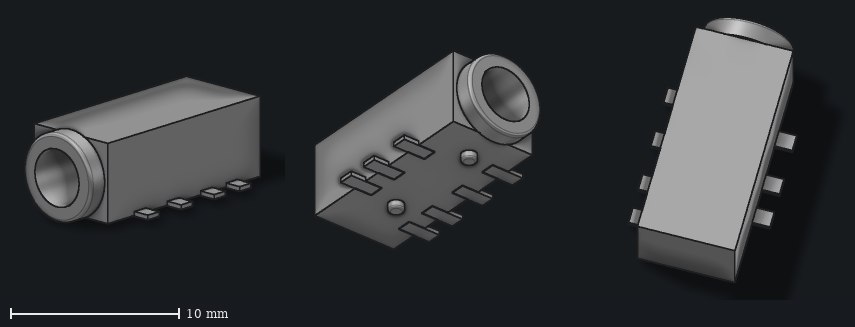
import cadquery as cq

total_length = 14.5
nose_length = 1.2
body_length = total_length - nose_length
body_width = 6.0
body_height = 5.0

nose_diameter = 5.5
nose_edge_radius = 0.2
bore_diameter = 3.58
bore_depth = 12.04
axis_height = body_height / 2

lead_span = 8.2
lead_gap = 3.6
lead_width = 1.0
lead_thickness = 0.3
lead_standoff = 0.05
left_lead_places = (3.8, 6.7, 8.89)
right_lead_places = (2.81, 5.7, 8.58, 10.8)

pin_diameter = 1.0
pin_edge_radius = 0.15
overall_height = 5.75
nose_rise = (nose_diameter - body_height) / 2
pin_length = overall_height - body_height - nose_rise
pin_places = (2.29, 9.28)


def make_body():
    return cq.Workplane("XY").box(body_width, body_length, body_height, centered=(True, False, False))


def front_cylinder(diameter, length):
    """Cylinder on the socket axis, running back from the tip of the nose."""
    return (
        cq.Workplane("XZ", origin=(0, -nose_length, axis_height))
        .circle(diameter / 2)
        .extrude(-length)
    )


def make_nose():
    return front_cylinder(nose_diameter, nose_length).faces("<Y").edges().fillet(nose_edge_radius)


def make_lead(side, place):
    """Flat solder lead; side is -1 for left and +1 for right."""
    lead_length = (lead_span - lead_gap) / 2
    center_x = side * (lead_span + lead_gap) / 4
    return (
        cq.Workplane("XY", origin=(center_x, place, -lead_standoff))
        .box(lead_length, lead_width, lead_thickness, centered=(True, True, False))
    )


def make_pin(place):
    """Locating pin with a rounded lower edge."""
    return (
        cq.Workplane("XY", origin=(0, place, 0))
        .circle(pin_diameter / 2)
        .extrude(-pin_length)
        .faces("<Z")
        .edges()
        .fillet(pin_edge_radius)
    )


result = make_body().union(make_nose())

for side, places in ((-1, left_lead_places), (1, right_lead_places)):
    for place in places:
        result = result.union(make_lead(side, place))

for place in pin_places:
    result = result.union(make_pin(place))

result = result.cut(front_cylinder(bore_diameter, bore_depth))